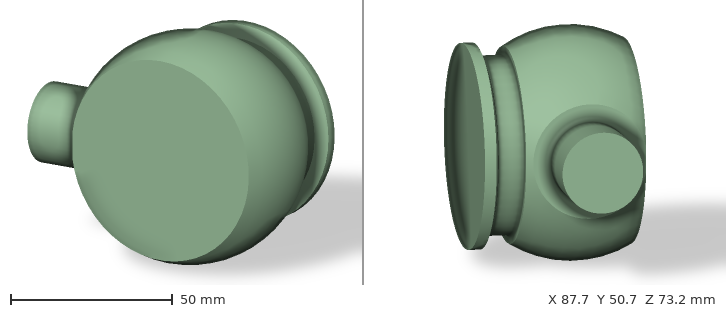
import cadquery as cq
import math

ball_radius = 36.6
front_face_y = -17.5
shoulder_y = 20.0
stem_seat_x = -31.8

stem_end_x = ball_radius - 87.7
stem_radius = 12.7
stem_fillet = 1.5

neck_radius = 27.9
neck_fillet = 0.9
flange_radius = 32.0
flange_rim_width = 3.7
flange_taper_width = 1.5
flange_back_y = 33.2


def truncated_ball():
    """Ball revolved about Y between two flat ends, then cut flat at the stem seat."""
    front_face_radius = math.sqrt(ball_radius**2 - front_face_y**2)
    shoulder_radius = math.sqrt(ball_radius**2 - shoulder_y**2)
    ball = (
        cq.Workplane("YZ")
        .moveTo(front_face_y, 0)
        .lineTo(front_face_y, front_face_radius)
        .threePointArc((0, ball_radius), (shoulder_y, shoulder_radius))
        .lineTo(shoulder_y, 0)
        .close()
        .revolve(360, (0, 0, 0), (1, 0, 0))
    )
    ball_diameter = 2 * ball_radius
    seat_cutter = cq.Workplane("XY").box(ball_diameter, ball_diameter, ball_diameter)
    return ball.cut(seat_cutter.translate((stem_seat_x - ball_radius, 0, 0)))


def stem():
    """Revolved stem with a concave fillet flaring onto the seat."""
    return (
        cq.Workplane("XY")
        .moveTo(stem_end_x, 0)
        .lineTo(stem_end_x, stem_radius)
        .lineTo(stem_seat_x - stem_fillet, stem_radius)
        .radiusArc((stem_seat_x, stem_radius + stem_fillet), -stem_fillet)
        .lineTo(0, stem_radius + stem_fillet)
        .lineTo(0, 0)
        .close()
        .revolve(360, (0, 0, 0), (1, 0, 0))
    )


def neck_and_flange():
    """Revolved neck with a root fillet and a flange tapered on its inner side."""
    rim_y = flange_back_y - flange_rim_width
    taper_y = rim_y - flange_taper_width
    root_radius = neck_radius + neck_fillet
    return (
        cq.Workplane("XY")
        .lineTo(root_radius, 0)
        .lineTo(root_radius, shoulder_y)
        .radiusArc((neck_radius, shoulder_y + neck_fillet), neck_fillet)
        .lineTo(neck_radius, taper_y)
        .lineTo(flange_radius, rim_y)
        .lineTo(flange_radius, flange_back_y)
        .lineTo(0, flange_back_y)
        .close()
        .revolve(360, (0, 0, 0), (0, 1, 0))
    )


result = truncated_ball().union(stem()).union(neck_and_flange())